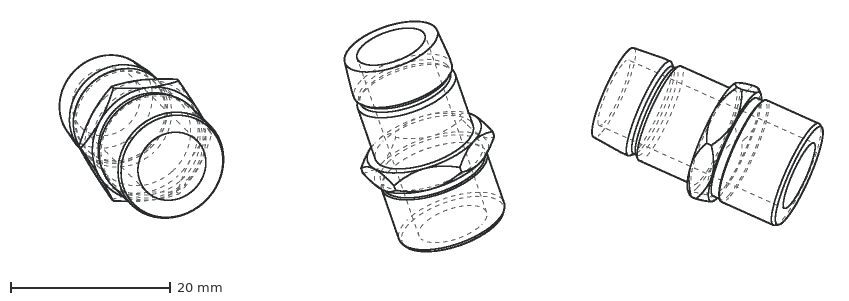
import cadquery as cq
import math

length = 26.0
bore_diameter = 9.0

nose_length = 4.0
nose_taper_angle = 5.0
body_diameter = 13.0
groove_start = 5.0
groove_depth = 0.5
groove_floor_width = 0.5

hex_sides = 6
hex_start = 14.0
hex_width = 3.0
hex_across_flats = 15.0

neck_diameter = 13.5
collar_diameter = 14.0
neck_end = 18.1
collar_slope_angle = 60.0
end_chamfer_angle = 30.0

body_radius = body_diameter / 2
nose_tip_radius = body_radius - nose_length * math.tan(math.radians(nose_taper_angle))
groove_radius = body_radius - groove_depth
groove_floor_start = groove_start + groove_depth
groove_floor_end = groove_floor_start + groove_floor_width
groove_end = groove_floor_end + groove_depth
hex_end = hex_start + hex_width
hex_middle = hex_start + hex_width / 2
hex_flat_radius = hex_across_flats / 2
hex_corner_radius = hex_flat_radius / math.cos(math.pi / hex_sides)
neck_radius = neck_diameter / 2
collar_radius = collar_diameter / 2
collar_start = neck_end + (collar_radius - neck_radius) / math.tan(math.radians(collar_slope_angle))
end_chamfer_length = (collar_radius - neck_radius) / math.tan(math.radians(end_chamfer_angle))


def revolve_about_x(profile):
    """Revolve a closed (x, radius) profile around the X axis."""
    return profile.revolve(360, (0, 0, 0), (1, 0, 0))


def turned_body():
    """Turned shape without hexagon and bore; body meets neck at a step hidden in the hexagon."""
    profile = (
        cq.Workplane("XZ")
        .moveTo(0, 0)
        .lineTo(0, nose_tip_radius)
        .lineTo(nose_length, body_radius)
        .lineTo(groove_start, body_radius)
        .lineTo(groove_floor_start, groove_radius)
        .lineTo(groove_floor_end, groove_radius)
        .lineTo(groove_end, body_radius)
        .lineTo(hex_middle, body_radius)
        .lineTo(hex_middle, neck_radius)
        .lineTo(neck_end, neck_radius)
        .lineTo(collar_start, collar_radius)
        .lineTo(length - end_chamfer_length, collar_radius)
        .lineTo(length, neck_radius)
        .lineTo(length, 0)
        .close()
    )
    return revolve_about_x(profile)


def hexagon():
    """Hexagon with corners on +Y and -Y, both ends chamfered at 45 degrees."""
    prism = (
        cq.Workplane("YZ", origin=(hex_start, 0, 0))
        .polygon(hex_sides, 2 * hex_corner_radius)
        .extrude(hex_width)
    )
    chamfer = hex_corner_radius - hex_flat_radius
    envelope = revolve_about_x(
        cq.Workplane("XZ")
        .moveTo(hex_start, 0)
        .lineTo(hex_start, hex_flat_radius)
        .lineTo(hex_start + chamfer, hex_corner_radius)
        .lineTo(hex_end - chamfer, hex_corner_radius)
        .lineTo(hex_end, hex_flat_radius)
        .lineTo(hex_end, 0)
        .close()
    )
    return prism.intersect(envelope)


def bore():
    """Through bore along the X axis."""
    return cq.Workplane("YZ").circle(bore_diameter / 2).extrude(length)


result = turned_body().union(hexagon()).cut(bore())